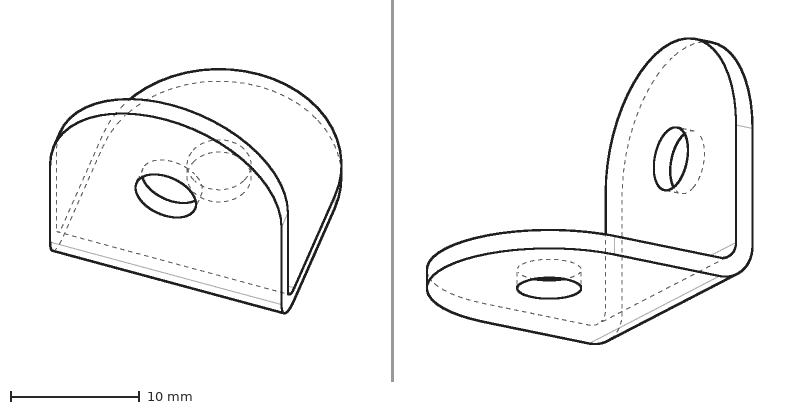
import cadquery as cq

width = 19.05
leg_length = 22.225
thickness = 1.524
inner_bend_radius = 1.524
hole_diameter = 4.978

outer_bend_radius = inner_bend_radius + thickness
tip_radius = width / 2
hole_offset = leg_length - tip_radius


def bent_strip():
    """L-shaped sheet with square ends, its outer corner line on the X axis."""
    strip = (
        cq.Workplane("YZ")
        .moveTo(0, 0)
        .lineTo(leg_length, 0)
        .lineTo(leg_length, thickness)
        .lineTo(thickness, thickness)
        .lineTo(thickness, leg_length)
        .lineTo(0, leg_length)
        .close()
        .extrude(width / 2, both=True)
    )
    outer_corner = cq.selectors.NearestToPointSelector((0, 0, 0))
    inner_corner = cq.selectors.NearestToPointSelector((0, thickness, thickness))
    strip = strip.edges(outer_corner).fillet(outer_bend_radius)
    return strip.edges(inner_corner).fillet(inner_bend_radius)


def leg_outline(plane, depth):
    """Full-round leg profile, extruded across the whole bracket."""
    return (
        cq.Workplane(plane)
        .moveTo(-tip_radius, 0)
        .lineTo(tip_radius, 0)
        .lineTo(tip_radius, hole_offset)
        .threePointArc((0, leg_length), (-tip_radius, hole_offset))
        .close()
        .extrude(depth)
    )


def leg_hole(plane, depth):
    """Cutter for the hole of one leg."""
    return cq.Workplane(plane).center(0, hole_offset).circle(hole_diameter / 2).extrude(depth)


result = bent_strip()
for plane, direction in (("XZ", -1), ("XY", 1)):
    result = result.intersect(leg_outline(plane, direction * leg_length))
    result = result.cut(leg_hole(plane, direction * thickness))